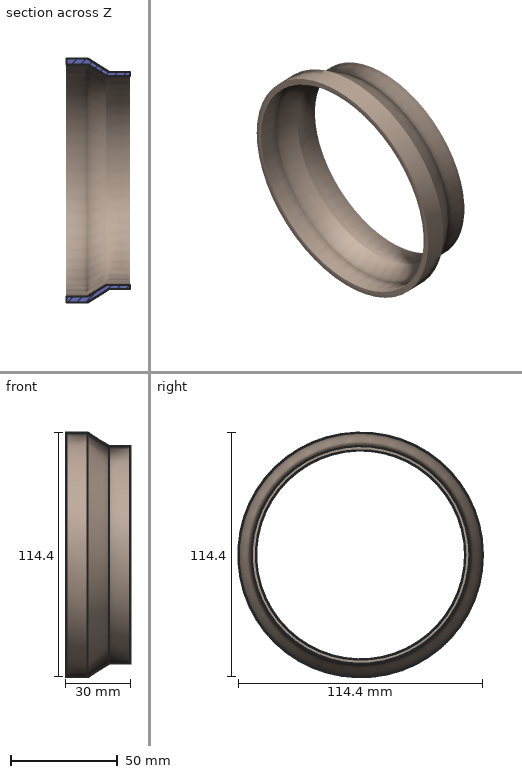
import cadquery as cq

length = 30.0
section_length = length / 3
wide_outer_radius = 57.2
wide_inner_radius = 54.2
narrow_outer_radius = 50.9
narrow_inner_radius = 48.8
bore_cone_setback = 1.3

cone_start = section_length
outer_cone_end = 2 * section_length
bore_cone_end = outer_cone_end - bore_cone_setback


def stepped_solid(wide_radius, narrow_radius, cone_end):
    """Solid of revolution about X: wide cylinder, cone, narrow cylinder."""
    return (
        cq.Workplane("XY")
        .moveTo(0, 0)
        .lineTo(0, wide_radius)
        .lineTo(cone_start, wide_radius)
        .lineTo(cone_end, narrow_radius)
        .lineTo(length, narrow_radius)
        .lineTo(length, 0)
        .close()
        .revolve(360, (0, 0, 0), (1, 0, 0))
    )


body = stepped_solid(wide_outer_radius, narrow_outer_radius, outer_cone_end)
bore = stepped_solid(wide_inner_radius, narrow_inner_radius, bore_cone_end)
result = body.cut(bore)